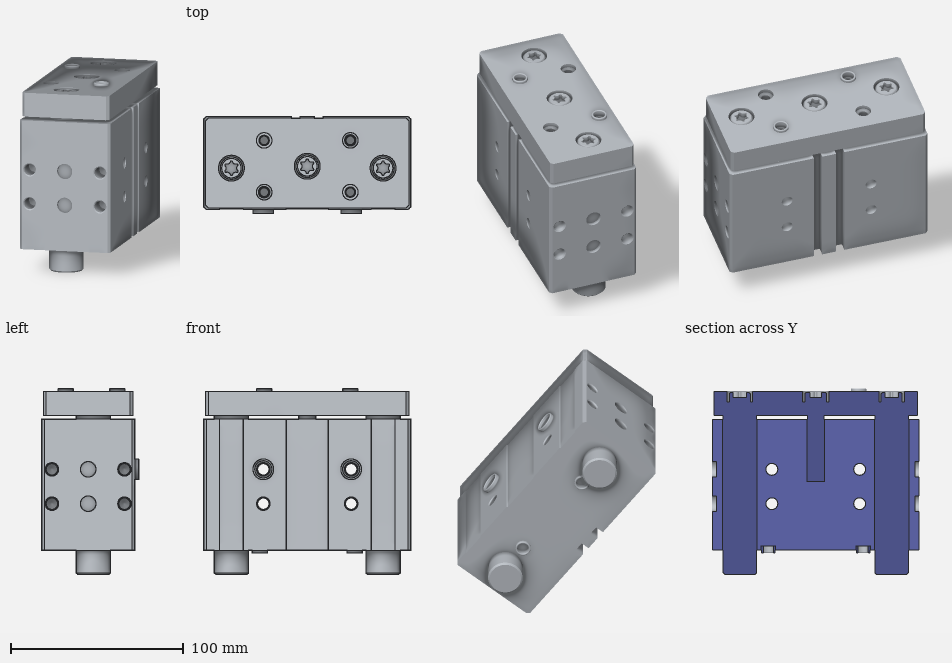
import cadquery as cq
import math


HOUSING_X = 120.0
HOUSING_Y = 54.0
HOUSING_Z = 76.0
HOUSING_CHAMFER = 1.5
FRONT_Y = -HOUSING_Y / 2

CHANNEL_DEPTH = 0.5
STEP_RUN = 0.4
CENTRE_CHANNEL_HALF = 12.4
SIDE_CHANNEL_INNER = 37.0
SIDE_CHANNEL_OUTER = 50.8

SLOT_X = 6.7
SLOT_WIDTH = 5.0
SLOT_DEPTH = 5.0

LOW_LEVEL = 27.0
HIGH_LEVEL = 46.9
THREAD_DIA = 6.6
THREAD_MOUTH_DIA = 7.8
FRONT_HOLE_X = 25.5
END_HOLE_Y = 21.0
END_HOLE_DEPTH = 12.0
DRILL_POINT_ANGLE = 118.0

YOKE_GAP = 2.0
PLATE_X = 118.0
PLATE_Y = 52.0
PLATE_Z = 14.0
PLATE_CHAMFER = 1.7
PLATE_BOTTOM = HOUSING_Z + YOKE_GAP
PLATE_TOP = PLATE_BOTTOM + PLATE_Z

ROD_X = 43.9
ROD_Y = -3.0
ROD_DIA = 20.0
ROD_OVERHANG = 14.0
ROD_END_CHAMFER = 1.0

PISTON_Y = -1.9
PISTON_ROD_DIA = 10.0
PISTON_ROD_DEPTH = 36.0

COUNTERBORE_DIA = 15.0
COUNTERBORE_DEPTH = 6.0
HEAD_DIA = 13.0
HEAD_CHAMFER = 0.8
HEAD_SINK = 0.5
STAR_TIP_DIA = 8.5
STAR_VALLEY_DIA = 6.0
STAR_SHOULDER_DIA = 7.7
STAR_LOBE_SHARE = 0.15
STAR_LOBES = 6
STAR_DEPTH = 3.0

PLATE_HOLE_X = 25.0
PLATE_HOLE_SPACING_Y = 30.0
PLATE_HOLE_DIA = 5.0
PLATE_HOLE_MOUTH_DIA = 6.0

SMALL_SLEEVE_DIA = 9.0
SMALL_SLEEVE_BORE = 6.6
SMALL_SEAT_DEPTH = 2.3
SMALL_SLEEVE_STANDOUT = 1.7
LARGE_SLEEVE_DIA = 12.0
LARGE_SLEEVE_BORE = 10.0
LARGE_SEAT_DEPTH = 2.4
LARGE_SLEEVE_STANDOUT = 2.4
BOTTOM_SLEEVE_X = 27.5

SCREW_POINTS = [(-ROD_X, ROD_Y), (0, PISTON_Y), (ROD_X, ROD_Y)]
PLATE_HOLE_REACH = PLATE_HOLE_SPACING_Y / 2
PLATE_SLEEVE_POINTS = [
    (side * PLATE_HOLE_X, PISTON_Y + side * PLATE_HOLE_REACH) for side in (-1, 1)
]
PLATE_FREE_POINTS = [
    (side * PLATE_HOLE_X, PISTON_Y - side * PLATE_HOLE_REACH) for side in (-1, 1)
]


def cylinder(plane, x, y, diameter, start, length):
    """Cylinder along the plane's normal, from start over length (may be negative)."""
    return cq.Workplane(plane).workplane(offset=start).center(x, y).circle(diameter / 2).extrude(length)


def cone(plane, x, y, diameter, start, depth, end_diameter):
    """Cone that narrows from diameter to end_diameter as it goes down by depth."""
    profile = [(0, start), (diameter / 2, start), (end_diameter / 2, start - depth), (0, start - depth)]
    if end_diameter == 0:
        profile.pop()
    local = cq.Workplane("XZ").polyline(profile).close().revolve(360, (0, 0), (0, 1))
    return cq.Workplane(local.val().translate((x, y, 0)).moved(cq.Location(plane)))


def threaded_hole(plane, x, y, mouth_dia, diameter, start, length):
    """Hole with a 45 degree countersunk mouth that starts below the plane by start."""
    hole = cylinder(plane, x, y, diameter, -start, -length)
    return hole.union(cone(plane, x, y, mouth_dia, -start, (mouth_dia - diameter) / 2, diameter))


front_frame = cq.Plane((0, FRONT_Y, 0), (0, 0, 1), (0, -1, 0))
left_frame = cq.Plane((-HOUSING_X / 2, 0, 0), (0, -1, 0), (-1, 0, 0))
right_frame = cq.Plane((HOUSING_X / 2, 0, 0), (0, 1, 0), (1, 0, 0))
bottom_frame = cq.Plane((0, 0, 0), (1, 0, 0), (0, 0, -1))
top_frame = cq.Plane((0, 0, PLATE_TOP), (1, 0, 0), (0, 0, 1))


def front_channel(x_min, x_max, slope_min, slope_max):
    """Shallow channel; slope_min and slope_max are the sideways runs of its two flanks."""
    floor_y = FRONT_Y + CHANNEL_DEPTH
    outline = [(x_min, FRONT_Y), (x_max, FRONT_Y), (x_max - slope_max, floor_y), (x_min + slope_min, floor_y)]
    return cq.Workplane("XY").polyline(outline).close().extrude(HOUSING_Z)


def make_housing():
    body = cq.Workplane("XY").box(HOUSING_X, HOUSING_Y, HOUSING_Z, centered=(True, True, False))
    body = body.edges("|Z").chamfer(HOUSING_CHAMFER)

    body = body.cut(front_channel(-CENTRE_CHANNEL_HALF, CENTRE_CHANNEL_HALF, STEP_RUN, STEP_RUN))
    body = body.cut(front_channel(SIDE_CHANNEL_INNER, SIDE_CHANNEL_OUTER, STEP_RUN, 0))
    body = body.cut(front_channel(-SIDE_CHANNEL_OUTER, -SIDE_CHANNEL_INNER, 0, STEP_RUN))

    slots = (
        cq.Workplane("XY")
        .pushPoints([(-SLOT_X, HOUSING_Y / 2), (SLOT_X, HOUSING_Y / 2)])
        .rect(SLOT_WIDTH, 2 * SLOT_DEPTH)
        .extrude(HOUSING_Z)
    )
    body = body.cut(slots)

    for side in (-1, 1):
        body = body.cut(cylinder("XY", side * ROD_X, ROD_Y, ROD_DIA, 0, HOUSING_Z))
    body = body.cut(cylinder("XY", 0, PISTON_Y, PISTON_ROD_DIA, HOUSING_Z, -PISTON_ROD_DEPTH))

    for side in (-1, 1):
        y = side * FRONT_HOLE_X
        body = body.cut(threaded_hole(front_frame, LOW_LEVEL, y, THREAD_MOUTH_DIA, THREAD_DIA, 0, HOUSING_Y))
        body = body.cut(cylinder(front_frame, HIGH_LEVEL, y, LARGE_SLEEVE_DIA, 0, -LARGE_SEAT_DEPTH))
        body = body.cut(
            threaded_hole(
                front_frame, HIGH_LEVEL, y, THREAD_MOUTH_DIA, THREAD_DIA, LARGE_SEAT_DEPTH, HOUSING_Y
            )
        )

    point_depth = THREAD_DIA / 2 / math.tan(math.radians(DRILL_POINT_ANGLE / 2))
    for frame in (left_frame, right_frame):
        for level in (LOW_LEVEL, HIGH_LEVEL):
            body = body.cut(cylinder(frame, 0, level, SMALL_SLEEVE_DIA, 0, -SMALL_SEAT_DEPTH))
            for x in (-END_HOLE_Y, END_HOLE_Y):
                body = body.cut(
                    threaded_hole(frame, x, level, THREAD_MOUTH_DIA, THREAD_DIA, 0, END_HOLE_DEPTH)
                )
                body = body.cut(cone(frame, x, level, THREAD_DIA, -END_HOLE_DEPTH, point_depth, 0))

    for side in (-1, 1):
        seat = cylinder(
            bottom_frame, side * BOTTOM_SLEEVE_X, -ROD_Y, SMALL_SLEEVE_DIA, 0, -SMALL_SEAT_DEPTH
        )
        body = body.cut(seat)
    return body


def star_socket(x, y, top_z):
    """Six-lobed drive socket with one lobe pointing along +Y."""

    def at(radius, steps):
        angle = math.pi / 2 + steps * 2 * math.pi / STAR_LOBES
        return (x + radius * math.cos(angle), y + radius * math.sin(angle))

    tip_radius = STAR_TIP_DIA / 2
    valley_radius = STAR_VALLEY_DIA / 2
    shoulder_radius = STAR_SHOULDER_DIA / 2
    outline = cq.Workplane("XY").workplane(offset=top_z).moveTo(*at(shoulder_radius, -STAR_LOBE_SHARE))
    for lobe in range(STAR_LOBES):
        lobe_end = at(shoulder_radius, lobe + STAR_LOBE_SHARE)
        next_start = at(shoulder_radius, lobe + 1 - STAR_LOBE_SHARE)
        outline = outline.threePointArc(at(tip_radius, lobe), lobe_end)
        outline = outline.threePointArc(at(valley_radius, lobe + 0.5), next_start)
    return outline.close().extrude(-STAR_DEPTH)


def screw_head(x, y):
    """Screw head that stands on the counterbore floor."""
    floor_z = PLATE_TOP - COUNTERBORE_DEPTH
    head = cylinder("XY", x, y, HEAD_DIA, floor_z, COUNTERBORE_DEPTH - HEAD_SINK)
    head = head.faces(">Z").edges().chamfer(HEAD_CHAMFER)
    return head.cut(star_socket(x, y, PLATE_TOP - HEAD_SINK))


def make_yoke():
    body = cq.Workplane("XY").workplane(offset=PLATE_BOTTOM).rect(PLATE_X, PLATE_Y).extrude(PLATE_Z)
    body = body.edges("|Z").chamfer(PLATE_CHAMFER)

    for x, y in SCREW_POINTS:
        body = body.cut(cylinder(top_frame, x, y, COUNTERBORE_DIA, 0, -COUNTERBORE_DEPTH))
        body = body.union(screw_head(x, y))

    for x, y in PLATE_SLEEVE_POINTS + PLATE_FREE_POINTS:
        body = body.cut(cylinder(top_frame, x, y, SMALL_SLEEVE_DIA, 0, -SMALL_SEAT_DEPTH))
        body = body.cut(
            threaded_hole(top_frame, x, y, PLATE_HOLE_MOUTH_DIA, PLATE_HOLE_DIA, SMALL_SEAT_DEPTH, PLATE_Z)
        )

    for side in (-1, 1):
        rod = cylinder("XY", side * ROD_X, ROD_Y, ROD_DIA, -ROD_OVERHANG, PLATE_BOTTOM + ROD_OVERHANG)
        body = body.union(rod.faces("<Z").edges().chamfer(ROD_END_CHAMFER))
    piston_rod_length = PISTON_ROD_DEPTH + YOKE_GAP
    return body.union(cylinder("XY", 0, PISTON_Y, PISTON_ROD_DIA, PLATE_BOTTOM, -piston_rod_length))


def sleeve(frame, x, y, diameter, bore, seat_depth, standout):
    """Tube with a rounded outer rim that stands out of its seat along the frame's normal."""
    outer = diameter / 2
    inner = bore / 2
    round_radius = (outer - inner) / 2
    shoulder = standout - round_radius
    tube = (
        cq.Workplane("XZ")
        .moveTo(-inner, -seat_depth)
        .lineTo(-outer, -seat_depth)
        .lineTo(-outer, shoulder)
        .threePointArc((-inner - round_radius, standout), (-inner, shoulder))
        .close()
        .revolve(360, (0, 0), (0, 1))
    )
    return tube.val().translate((x, y, 0)).moved(cq.Location(frame))


def small_sleeve(frame, x, y):
    return sleeve(
        frame, x, y, SMALL_SLEEVE_DIA, SMALL_SLEEVE_BORE, SMALL_SEAT_DEPTH, SMALL_SLEEVE_STANDOUT
    )


def large_sleeve(frame, x, y):
    return sleeve(
        frame, x, y, LARGE_SLEEVE_DIA, LARGE_SLEEVE_BORE, LARGE_SEAT_DEPTH, LARGE_SLEEVE_STANDOUT
    )


housing = make_housing()
yoke = make_yoke()
plate_sleeves = [small_sleeve(top_frame, x, y) for x, y in PLATE_SLEEVE_POINTS]
bottom_sleeves = [small_sleeve(bottom_frame, side * BOTTOM_SLEEVE_X, -ROD_Y) for side in (-1, 1)]
front_sleeves = [large_sleeve(front_frame, HIGH_LEVEL, side * FRONT_HOLE_X) for side in (-1, 1)]

result = cq.Compound.makeCompound(
    [housing.val(), yoke.val(), *plate_sleeves, *bottom_sleeves, *front_sleeves]
)